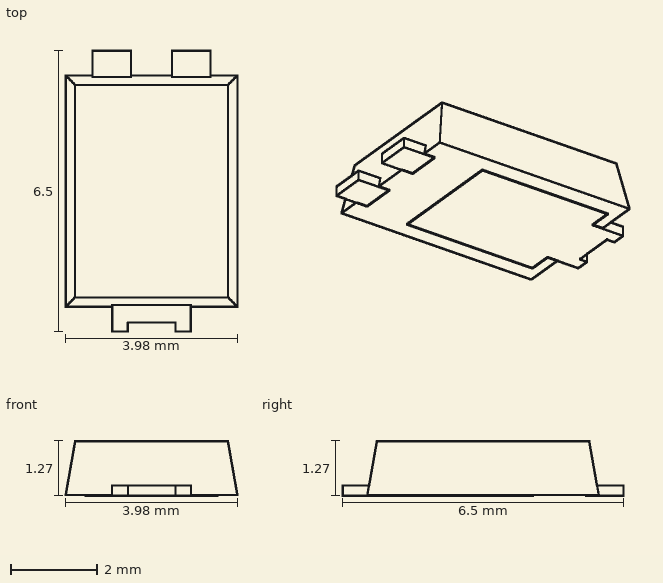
import cadquery as cq
import math

body_width = 3.98
body_length = 5.355
overall_height = 1.27
standoff = 0.02
draft_angle = 10

overall_length = 6.5
lead_thickness = 0.25
rear_lead_width = 0.9
rear_lead_spacing = 1.84
rear_lead_length = 0.865
pad_width = 3.05
pad_rear_y = 1.15
pad_front_setback = 0.29
tab_width = 1.82
notch_width = 1.1
notch_depth = 0.21

body_height = overall_height - standoff
pad_front_y = -body_length / 2 + pad_front_setback
front_y = -overall_length / 2
rear_y = overall_length / 2


def plate(width, y_start, y_end, x_center=0):
    """Flat bar of lead thickness resting on Z = 0."""
    length = y_end - y_start
    return (
        cq.Workplane("XY")
        .center(x_center, y_start + length / 2)
        .rect(width, length)
        .extrude(lead_thickness)
    )


def make_body():
    """Body tapering inwards on all four sides, raised by the standoff."""
    inset = body_height * math.tan(math.radians(draft_angle))
    return (
        cq.Workplane("XY", origin=(0, 0, standoff))
        .rect(body_width, body_length)
        .workplane(offset=body_height)
        .rect(body_width - 2 * inset, body_length - 2 * inset)
        .loft(ruled=True)
    )


def make_pad_and_tab():
    """Exposed pad under the body, with a notched tab at the front."""
    pad = plate(pad_width, pad_front_y, pad_rear_y)
    tab = plate(tab_width, front_y, pad_rear_y)
    notch = plate(notch_width, front_y, front_y + notch_depth)
    return pad.union(tab).cut(notch)


result = make_body().union(make_pad_and_tab())
for side in (-1, 1):
    lead_x = side * rear_lead_spacing / 2
    rear_lead = plate(rear_lead_width, rear_y - rear_lead_length, rear_y, lead_x)
    result = result.union(rear_lead)